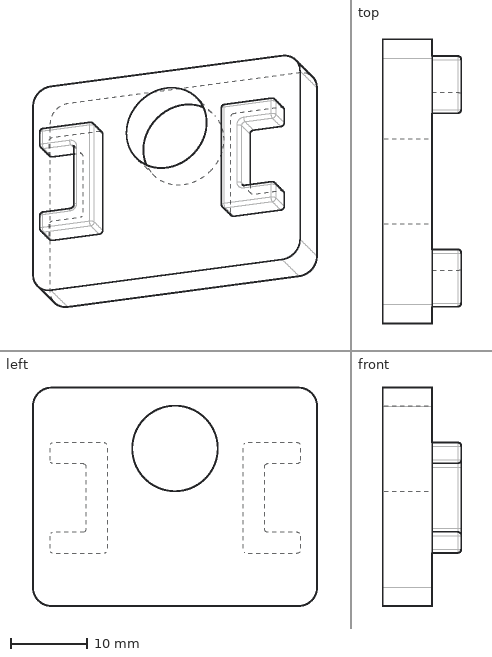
import cadquery as cq

plate_thickness = 6.5
plate_width = 37.3
plate_height = 28.7
plate_corner_radius = 2.5

hole_diameter = 11.2
hole_height = 6.35

lug_length = 3.8
lug_width = 7.55
lug_height = 14.5
lug_wall = 2.75
lug_offset = 12.7
lug_centre_height = -0.1
lug_edge_radius = 0.5
lug_end_radius = 0.5


def make_plate():
    """Plate with rounded corners and the through hole; its back face lies at X = 0."""
    return (
        cq.Workplane("YZ")
        .rect(plate_width, plate_height)
        .extrude(plate_thickness)
        .edges("|X")
        .fillet(plate_corner_radius)
        .faces(">X")
        .workplane(origin=(0, 0, hole_height))
        .hole(hole_diameter)
    )


def make_lug():
    """C-shaped lug on the -Y half: upper and lower arms joined by a web on the inner side."""
    block = (
        cq.Workplane("YZ", origin=(plate_thickness, -lug_offset, lug_centre_height))
        .rect(lug_width, lug_height)
        .extrude(lug_length)
    )
    notch = (
        cq.Workplane("YZ", origin=(plate_thickness, -lug_offset - lug_wall, lug_centre_height))
        .rect(lug_width, lug_height - 2 * lug_wall)
        .extrude(lug_length)
    )
    lug = block.cut(notch).edges("|X").fillet(lug_edge_radius)
    return lug.faces(">X").edges().fillet(lug_end_radius)


lug = make_lug()
result = make_plate().union(lug).union(lug.mirror("XZ"))